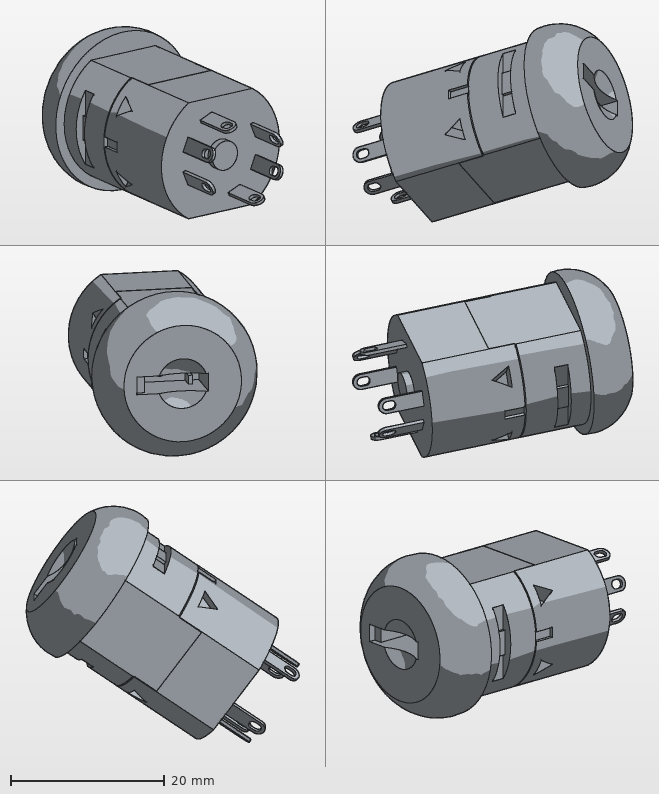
import cadquery as cq
import math


total_length = 34.1
cap_length = 6.3
front_end = 15.17
rear_start = 15.35
tongue_end = 18.9
rear_end = 28.05

cap_diameter = 21.8
cap_face_diameter = 15.65
dome_arc_radius = 12.5 / 2

body_radius = 9.48
front_flat_height = 7.95
rear_flat_height = 7.98
rear_recess_half_width = 5.05
neck_radius = 7.5
tongue_half_width = math.sqrt(body_radius**2 - front_flat_height**2)

dimple_sphere_radius = 12.5 / 2
dimple_diameter = 6.7
key_slot_height = 2.4
key_slot_depth = 6.3
key_slot_left = 6.1
key_slot_right = -3.45
key_ledge_width = 1.23
key_ledge_depth = 0.92
ward_width = 0.58
ward_height = 1.15
ward_length = 2.05
upper_ward_y = 2.15
lower_ward_y = -1.9

side_slot_start = 9.0
side_slot_length = 1.85
side_slot_width = 10.15
side_slot_floor = 7.98
pad_length = 1.77
pad_width = 3.38
pad_height = 0.4

notch_length = 2.73
notch_width = 1.35
notch_depth = 0.5

window_start = 16.85
window_length = 2.52
window_base = 2.52
window_tilt = 30.0
window_offset = 4.35

pin_diameter = 4.0
pin_length = 1.02
lug_ring_radius = 5.85
lug_width = 2.05
lug_thickness = 0.45
lug_angles = (22.5, -22.5, 112.5, 157.5, 202.5, 292.5)
lug_eye_length = 1.77
lug_eye_width = 1.2
lug_eye_end_gap = 0.5

overlap = 0.35


def rod(x_start, x_end, radius):
    """Cylinder about the X axis."""
    return cq.Workplane("YZ", origin=(x_start, 0, 0)).circle(radius).extrude(x_end - x_start)


def block(x_start, x_end, y_low, y_high, z_low, z_high):
    """Box between opposite corners."""
    size = (x_end - x_start, y_high - y_low, z_high - z_low)
    return cq.Workplane("XY").box(*size, centered=False).translate((x_start, y_low, z_low))


def flatted_rod(x_start, x_end, half_width, half_height):
    """Body cylinder trimmed to a given width and to top and bottom flats."""
    trim = block(x_start, x_end, -half_width, half_width, -half_height, half_height)
    return rod(x_start, x_end, body_radius).intersect(trim)


def both_sides(shape):
    """Shape together with its mirror image on the other Y side."""
    return shape.union(shape.mirror("XZ"))


def make_cap():
    """Disc with a bulging rim whose arc is tangent to the largest diameter."""
    arc_center_r = cap_diameter / 2 - dome_arc_radius
    face_r = cap_face_diameter / 2
    arc_center_x = math.sqrt(dome_arc_radius**2 - (face_r - arc_center_r) ** 2)
    rim_r = arc_center_r + math.sqrt(dome_arc_radius**2 - (cap_length - arc_center_x) ** 2)
    profile = (
        cq.Workplane("XY")
        .lineTo(0, face_r)
        .threePointArc((arc_center_x, cap_diameter / 2), (cap_length, rim_r))
        .lineTo(cap_length, 0)
        .close()
    )
    return profile.revolve(360, (0, 0, 0), (1, 0, 0))


def make_body():
    """Front section, neck, and rear section with the tongue bridging top and bottom."""
    front = flatted_rod(cap_length, front_end, body_radius, front_flat_height)
    neck = rod(cap_length, rear_end, neck_radius)
    rear = flatted_rod(rear_start, rear_end, body_radius, rear_flat_height)
    for z_low, z_high in ((front_flat_height, body_radius), (-body_radius, -front_flat_height)):
        rear = rear.cut(
            block(
                rear_start,
                tongue_end,
                -rear_recess_half_width,
                rear_recess_half_width,
                z_low,
                z_high,
            )
        )
    tongue = flatted_rod(cap_length, tongue_end, tongue_half_width, front_flat_height)
    return front.union(neck).union(rear).union(tongue)


def make_dimple():
    """Shallow spherical thumb recess."""
    rim_r = dimple_diameter / 2
    depth = dimple_sphere_radius - math.sqrt(dimple_sphere_radius**2 - rim_r**2)
    mid_r = rim_r / 2
    mid_x = depth - dimple_sphere_radius + math.sqrt(dimple_sphere_radius**2 - mid_r**2)
    profile = (
        cq.Workplane("XY")
        .lineTo(0, rim_r)
        .threePointArc((mid_x, mid_r), (depth, 0))
        .close()
    )
    return profile.revolve(360, (0, 0, 0), (1, 0, 0))


def make_key_slot():
    """Key slot with a shallow ledge at one end and two wards at the bottom."""
    half_height = key_slot_height / 2
    ledge_edge = key_slot_left - key_ledge_width
    slot = block(0, key_slot_depth, key_slot_right, ledge_edge, -half_height, half_height)
    ledge = block(0, key_ledge_depth, ledge_edge, key_slot_left, -half_height, half_height)
    slot = slot.union(ledge)
    ward_start = key_slot_depth - ward_length
    for ward_y, z_low in (
        (upper_ward_y, half_height - ward_height),
        (lower_ward_y, -half_height),
    ):
        slot = slot.cut(
            block(
                ward_start,
                key_slot_depth,
                ward_y - ward_width / 2,
                ward_y + ward_width / 2,
                z_low,
                z_low + ward_height,
            )
        )
    return slot


def make_side_slot():
    """Flat-bottomed slot on the -Y side with a raised central pad."""
    slot = block(
        side_slot_start,
        side_slot_start + side_slot_length,
        -body_radius,
        -side_slot_floor,
        -side_slot_width / 2,
        side_slot_width / 2,
    )
    pad = block(
        side_slot_start,
        side_slot_start + pad_length,
        -side_slot_floor - pad_height,
        -side_slot_floor,
        -pad_width / 2,
        pad_width / 2,
    )
    return slot.cut(pad)


def make_notch():
    """Rectangular index notch on the -Y side, open to the groove."""
    return block(
        rear_start,
        rear_start + notch_length,
        -body_radius,
        -body_radius + notch_depth,
        -notch_width / 2,
        notch_width / 2,
    )


def make_window():
    """Triangular window above the notch on the -Y side, pointing to +X and cut down to the neck."""
    prism = (
        cq.Workplane("XY")
        .polyline(
            [
                (window_start, -window_offset - window_base / 2),
                (window_start, -window_offset + window_base / 2),
                (window_start + window_length, -window_offset),
            ]
        )
        .close()
        .extrude(body_radius)
        .rotate((0, 0, 0), (1, 0, 0), window_tilt)
    )
    return prism.cut(rod(window_start, window_start + window_length, neck_radius))


def make_lug(angle):
    """Solder lug with a round tip and an oblong eye, set tangent to the lug ring."""
    tip_radius = lug_width / 2
    shank_start = rear_end - overlap
    shank_end = total_length - tip_radius
    eye_center = total_length - lug_eye_end_gap - lug_eye_length / 2
    lug = (
        cq.Workplane("XY")
        .moveTo(shank_start, -tip_radius)
        .lineTo(shank_end, -tip_radius)
        .threePointArc((total_length, 0), (shank_end, tip_radius))
        .lineTo(shank_start, tip_radius)
        .close()
        .moveTo(eye_center, 0)
        .slot2D(lug_eye_length, lug_eye_width)
        .extrude(lug_thickness)
    )
    lug = lug.translate((0, 0, lug_ring_radius - lug_thickness / 2))
    return lug.rotate((0, 0, 0), (1, 0, 0), angle - 90)


result = make_cap().union(make_body())
result = result.cut(make_dimple()).cut(make_key_slot())
result = result.cut(both_sides(make_side_slot())).cut(both_sides(make_notch()))
upper_windows = both_sides(make_window())
result = result.cut(upper_windows).cut(upper_windows.mirror("XY"))

result = result.union(rod(rear_end - overlap, rear_end + pin_length, pin_diameter / 2))
for lug_angle in lug_angles:
    result = result.union(make_lug(lug_angle))